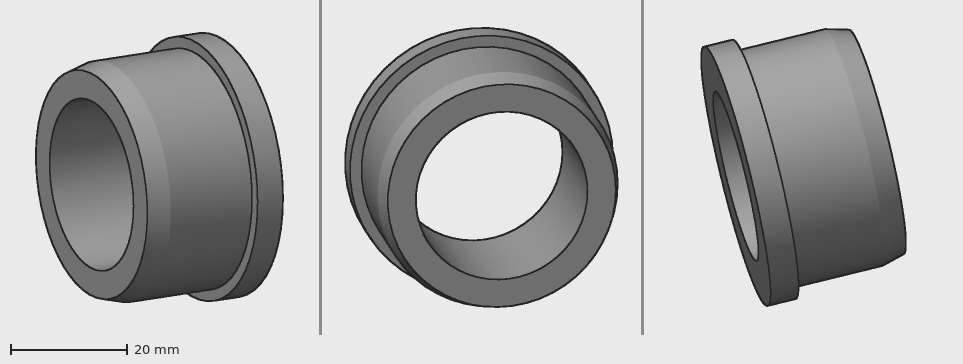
import cadquery as cq
import math

flange_diameter = 46.0
body_diameter = 42.0
bore_diameter = 30.0
total_length = 25.0
flange_thickness = 5.0

taper_length = 4.0
taper_angle = 15.0

flange_radius = flange_diameter / 2
body_radius = body_diameter / 2
bore_radius = bore_diameter / 2
tip_radius = body_radius - taper_length * math.tan(math.radians(taper_angle))

back_y = total_length / 2
front_y = -back_y
shoulder_y = back_y - flange_thickness
taper_y = front_y + taper_length

half_section = [
    (bore_radius, front_y),
    (tip_radius, front_y),
    (body_radius, taper_y),
    (body_radius, shoulder_y),
    (flange_radius, shoulder_y),
    (flange_radius, back_y),
    (bore_radius, back_y),
]

result = cq.Workplane("XY").polyline(half_section).close().revolve(360, (0, 0, 0), (0, 1, 0))